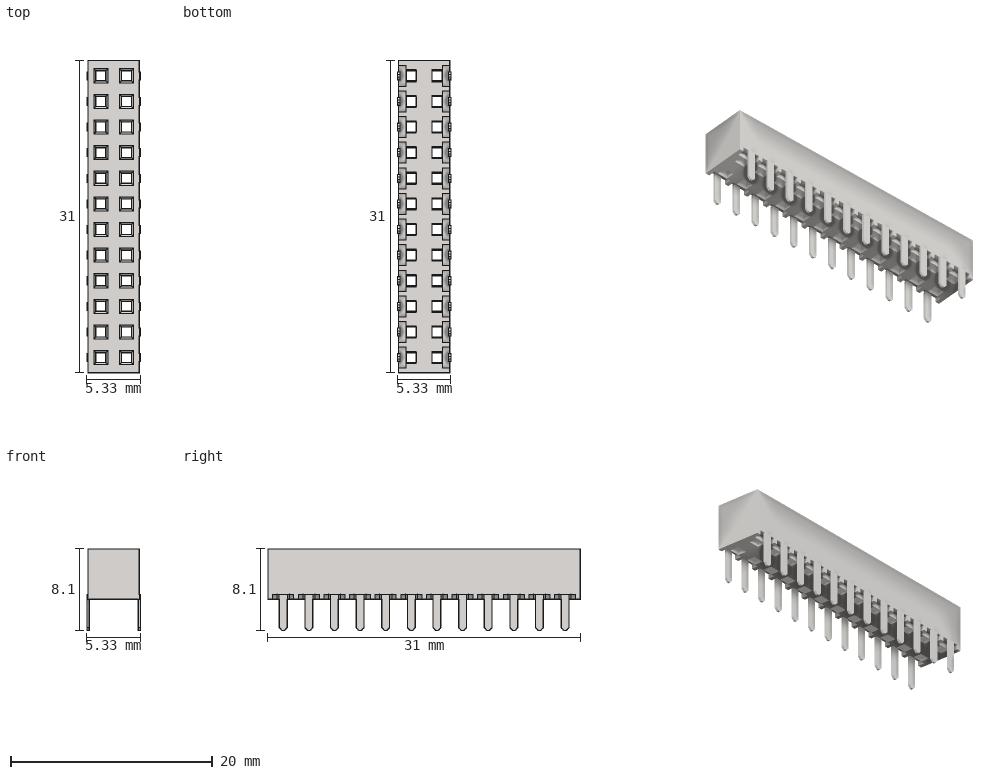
import cadquery as cq

pitch = 2.54
rows_per_side = 12
column_x = pitch / 2
row_y = [(i - (rows_per_side - 1) / 2) * pitch for i in range(rows_per_side)]
sides = (-1, 1)

body_width = 5.1
end_margin = 0.25
body_length = rows_per_side * pitch + 2 * end_margin
body_height = 5.0

funnel_size = 1.4
entry_size = 0.96
funnel_depth = (funnel_size - entry_size) / 2
lip_height = 0.3
shaft_length = 1.2
undercut_depth = 0.25
undercut_height = 0.3

notch_length = 2.08
notch_height = 0.5
notch_depth = 0.75

pin_row_spacing = 5.08
pin_thickness = 0.25
pin_width = 0.8
pin_drop = 3.1
tip_width = 0.25
tip_height = 0.3


def make_body():
    return cq.Workplane("XY").box(body_width, body_length, body_height, centered=(True, True, False))


def make_socket(side, y):
    """Material removed by one socket, from the top face through the underside."""
    x = side * column_x
    entry_z = body_height - funnel_depth
    shaft_z = entry_z - lip_height
    funnel = (
        cq.Workplane("XY", origin=(x, y, body_height))
        .rect(funnel_size, funnel_size)
        .workplane(offset=-funnel_depth)
        .rect(entry_size, entry_size)
        .loft(ruled=True)
    )
    entry = cq.Workplane("XY", origin=(x, y, entry_z)).rect(entry_size, entry_size).extrude(-lip_height)
    shaft_plane = cq.Workplane("XY", origin=(x, y, shaft_z))
    shaft = shaft_plane.rect(entry_size, shaft_length).extrude(-shaft_z)
    undercut = (
        shaft_plane.center(side * undercut_depth / 2, 0)
        .rect(entry_size + undercut_depth, shaft_length)
        .extrude(-undercut_height)
    )
    return funnel.union(entry).union(shaft).union(undercut)


def make_notch(side, y):
    x = side * (body_width - notch_depth) / 2
    return cq.Workplane("XY", origin=(x, y, 0)).box(
        notch_depth, notch_length, notch_height, centered=(True, True, False)
    )


def make_pin(side, y):
    """Flat pin with a tapered tip, hanging from the ceiling of its notch."""
    half_width = pin_width / 2
    half_tip = tip_width / 2
    outline = [
        (-half_width, notch_height),
        (half_width, notch_height),
        (half_width, tip_height - pin_drop),
        (half_tip, -pin_drop),
        (-half_tip, -pin_drop),
        (-half_width, tip_height - pin_drop),
    ]
    return (
        cq.Workplane("YZ", origin=(side * pin_row_spacing / 2, y, 0))
        .polyline(outline)
        .close()
        .extrude(pin_thickness / 2, both=True)
    )


def collect(make_feature):
    """The given feature at every contact position, as a list of solids."""
    return [make_feature(side, y).val() for side in sides for y in row_y]


body = make_body().val()
body = body.cut(*collect(make_socket), *collect(make_notch))
body = body.fuse(*collect(make_pin))
result = cq.Workplane(obj=body.Solids()[0])